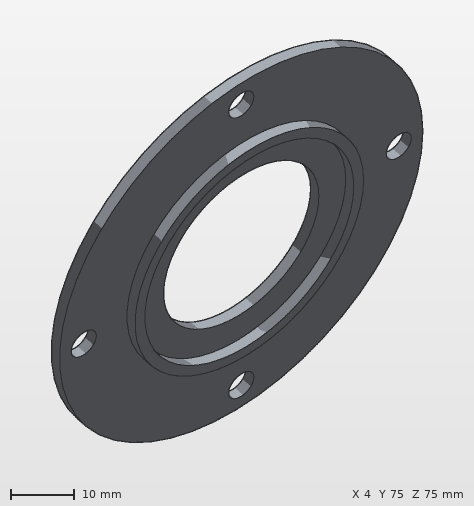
import cadquery as cq

flange_diameter = 75.0
flange_thickness = 2.0

total_thickness = 4.0
ring_outer_diameter = 47.2
ring_wall = flange_thickness
ring_inner_diameter = ring_outer_diameter - 2 * ring_wall
ring_height = total_thickness - flange_thickness

bore_diameter = 32.0

hole_count = 4
hole_diameter = 5.2
bolt_circle_diameter = 65.0


def make_flange():
    """Annular disc with its outer face on X = 0."""
    return (
        cq.Workplane("YZ")
        .circle(flange_diameter / 2)
        .circle(bore_diameter / 2)
        .extrude(flange_thickness)
    )


def make_ring():
    """Raised ring standing on the +X face of the flange."""
    return (
        cq.Workplane("YZ", origin=(flange_thickness, 0, 0))
        .circle(ring_outer_diameter / 2)
        .circle(ring_inner_diameter / 2)
        .extrude(ring_height)
    )


def make_mounting_holes():
    """Equally spaced holes, the first one on the +Y axis."""
    return (
        cq.Workplane("YZ")
        .polarArray(bolt_circle_diameter / 2, 0, 360, hole_count)
        .circle(hole_diameter / 2)
        .extrude(flange_thickness)
    )


result = make_flange().union(make_ring()).cut(make_mounting_holes())